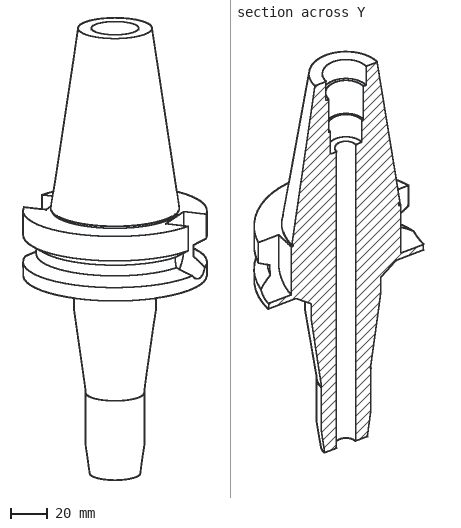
import cadquery as cq

total_height = 251.8
nose_top = 16.5
shank_top = 45.5
neck_bottom = 93.2
neck_top = 104.5
flange_bottom = 112.0
groove_lip_bottom = 119.5
groove_floor_bottom = 124.1
groove_floor_top = 130.2
groove_lip_top = 134.7
flange_top = 148.5
taper_bottom = 149.8

nose_tip_radius = 13.8
shank_radius = 16.0
cone_small_radius = 15.9
neck_radius = 22.5
collar_radius = 32.2
flange_radius = 49.98
groove_radius = 42.8
taper_relief_radius = 34.2
taper_large_radius = 35.0
taper_small_radius = 20.1

through_radius = 6.0
socket_radius = 12.8
socket_depth = 12.8
thread_radius = 11.0
thread_depth = 35.3
core_radius = 10.0
core_depth = 50.4

slot_width = 25.5
slot_floor_distance = 35.3
slot_bottom = 116.0


def make_body():
    """Revolve the outer profile of nose, neck, flange and taper about Z."""
    profile = [
        (0, 0),
        (nose_tip_radius, 0),
        (shank_radius, nose_top),
        (shank_radius, shank_top),
        (cone_small_radius, shank_top),
        (neck_radius, neck_bottom),
        (neck_radius, neck_top),
        (collar_radius, flange_bottom),
        (flange_radius, flange_bottom),
        (flange_radius, groove_lip_bottom),
        (groove_radius, groove_floor_bottom),
        (groove_radius, groove_floor_top),
        (flange_radius, groove_lip_top),
        (flange_radius, flange_top),
        (taper_relief_radius, flange_top),
        (taper_relief_radius, taper_bottom),
        (taper_large_radius, taper_bottom),
        (taper_small_radius, total_height),
        (0, total_height),
    ]
    return cq.Workplane("XZ").polyline(profile).close().revolve(360, (0, 0), (0, 1))


def make_bore(radius, depth):
    """Cylinder going down from the top face along the axis."""
    return cq.Workplane("XY").workplane(offset=total_height).circle(radius).extrude(-depth)


def make_slot(side):
    """Round-bottomed slot cutter, open at the top and rim, on the +X (1) or -X (-1) side."""
    half_width = slot_width / 2
    arc_center = slot_bottom + half_width
    return (
        cq.Workplane("YZ")
        .workplane(offset=side * slot_floor_distance)
        .moveTo(-half_width, flange_top)
        .lineTo(-half_width, arc_center)
        .threePointArc((0, slot_bottom), (half_width, arc_center))
        .lineTo(half_width, flange_top)
        .close()
        .extrude(side * flange_radius)
    )


result = make_body()

bore_steps = [
    (through_radius, total_height),
    (core_radius, core_depth),
    (thread_radius, thread_depth),
    (socket_radius, socket_depth),
]
for step_radius, step_depth in bore_steps:
    result = result.cut(make_bore(step_radius, step_depth))

for slot_side in (1, -1):
    result = result.cut(make_slot(slot_side))